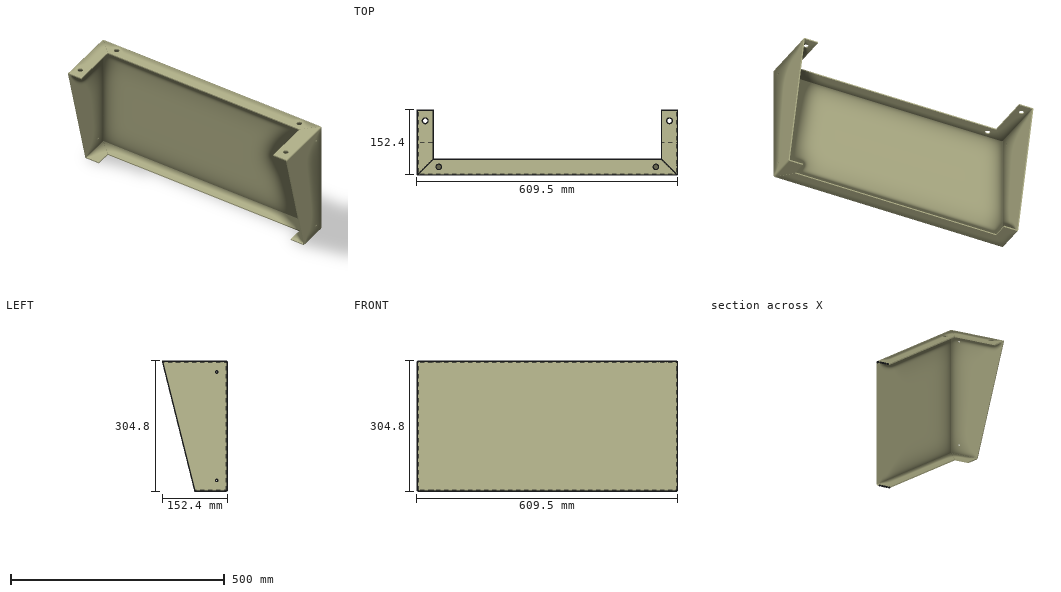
import cadquery as cq
import math

WIDTH = 609.5
DEPTH = WIDTH / 4
HEIGHT = WIDTH / 2
BOTTOM_DEPTH = DEPTH / 2

SHEET = 3.0
BEND_RADIUS = 3.5
FLANGE = 38.0
MITRE_GAP = 0.3

FLANGE_HOLE_DIAMETER = 13.0
ARM_HOLE_INSET = FLANGE / 2
ARM_HOLE_FROM_BACK = 25.0
FRONT_HOLE_FROM_SIDE = 50.5
FRONT_HOLE_FROM_FRONT = 19.5

SIDE_HOLE_DIAMETER = 5.1
SIDE_HOLE_FROM_FRONT = 25.0
SIDE_HOLE_FROM_END = 25.5


def rounded_block(inset, radius):
    """Block inset from the outer faces, flush at the back, with every edge off the back face rounded."""
    block = cq.Workplane("XY").box(
        WIDTH - 2 * inset, DEPTH - inset, HEIGHT - 2 * inset, centered=(True, False, False)
    )
    block = block.translate((0, inset, inset))
    return block.edges("not(>Y)").fillet(radius)


def flange_opening():
    """Through opening that leaves the flanges standing along the front and the sides."""
    opening = cq.Workplane("XY").box(
        WIDTH - 2 * FLANGE, DEPTH - FLANGE, HEIGHT, centered=(True, False, False)
    )
    return opening.translate((0, FLANGE, 0))


def back_taper():
    """Wedge behind the sloping rear edges, stopped below the top bend to keep the flange ends square."""
    wedge_top = HEIGHT - BEND_RADIUS
    wedge_top_depth = BOTTOM_DEPTH + (DEPTH - BOTTOM_DEPTH) * wedge_top / HEIGHT
    taper = (
        cq.Workplane("YZ")
        .moveTo(BOTTOM_DEPTH, 0)
        .lineTo(wedge_top_depth, wedge_top)
        .lineTo(DEPTH, wedge_top)
        .lineTo(DEPTH, 0)
        .close()
    )
    return taper.extrude(WIDTH / 2, both=True)


def corner_mitre(side):
    """Fine 45-degree slit between the front and side flanges, ending at the corner bend."""
    slit_run = FLANGE - BEND_RADIUS
    middle = (FLANGE + BEND_RADIUS) / 2
    slit = cq.Workplane("XY").box(
        slit_run * math.sqrt(2), MITRE_GAP, HEIGHT, centered=(True, True, False)
    )
    slit = slit.rotate((0, 0, 0), (0, 0, 1), -45 * side)
    return slit.translate((side * (WIDTH / 2 - middle), middle, 0))


def top_flange_holes():
    """Two holes in the front flange and one near the rear end of each side flange."""
    places = []
    for side in (-1, 1):
        places.append((side * (WIDTH / 2 - ARM_HOLE_INSET), DEPTH - ARM_HOLE_FROM_BACK))
        places.append((side * (WIDTH / 2 - FRONT_HOLE_FROM_SIDE), FRONT_HOLE_FROM_FRONT))
    holes = cq.Workplane("XY").workplane(offset=HEIGHT - SHEET).pushPoints(places)
    return holes.circle(FLANGE_HOLE_DIAMETER / 2).extrude(SHEET)


def side_wall_holes():
    """Upper and lower holes running through both side walls."""
    places = [
        (SIDE_HOLE_FROM_FRONT, SIDE_HOLE_FROM_END),
        (SIDE_HOLE_FROM_FRONT, HEIGHT - SIDE_HOLE_FROM_END),
    ]
    holes = cq.Workplane("YZ").pushPoints(places)
    return holes.circle(SIDE_HOLE_DIAMETER / 2).extrude(WIDTH / 2, both=True)


cover = rounded_block(0, BEND_RADIUS).cut(rounded_block(SHEET, BEND_RADIUS - SHEET))
cover = cover.cut(flange_opening()).cut(back_taper())
for side in (-1, 1):
    cover = cover.cut(corner_mitre(side))
result = cover.cut(top_flange_holes()).cut(side_wall_holes())